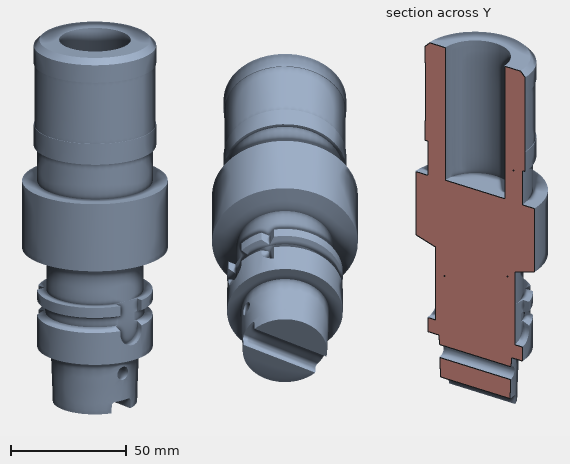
import cadquery as cq


shank_length = 25.0
shank_top_diameter = 38.4
shank_end_diameter = 36.5
cross_hole_diameter = 6.0
cross_hole_depth_below_flange = 7.5
end_slot_width = 10.5
end_slot_depth = 5.0
end_slot_corner_radius = 1.5

flange_diameter = 50.0
flange_height = 26.0
groove_center_height = 18.0
groove_floor_width = 4.0
groove_mouth_width = 6.9
groove_floor_diameter = 43.0
keyway_width = 12.0
keyway_center_height = 13.0
keyway_floor_offset = 21.0
notch_wall_offset = 15.5
notch_radius = 6.0
notch_center_height = 13.0

overall_height = 165.0
neck_diameter = 42.0
body_diameter = 63.0
body_bottom_drop = 98.0
body_cone_height = 3.0
body_top_drop = 64.3
collar_diameter = 50.0
ring_diameter = 53.0
lower_ring_bottom_drop = 48.0
lower_ring_top_drop = 38.5
sleeve_diameter = 52.5
upper_ring_bottom_drop = 10.5
top_chamfer = 2.5
bore_diameter = 31.0
bore_depth = 64.0

top_z = overall_height - shank_length
cut_reach = flange_diameter


def turned_body():
    """Revolve the half outline of shank, flange, body and nut about Z."""
    groove_bottom = groove_center_height - groove_mouth_width / 2
    groove_top = groove_center_height + groove_mouth_width / 2
    floor_bottom = groove_center_height - groove_floor_width / 2
    floor_top = groove_center_height + groove_floor_width / 2
    shank = [
        (0, -shank_length),
        (shank_end_diameter / 2, -shank_length),
        (shank_top_diameter / 2, 0),
    ]
    flange = [
        (flange_diameter / 2, 0),
        (flange_diameter / 2, groove_bottom),
        (groove_floor_diameter / 2, floor_bottom),
        (groove_floor_diameter / 2, floor_top),
        (flange_diameter / 2, groove_top),
        (flange_diameter / 2, flange_height),
    ]
    chuck_body = [
        (neck_diameter / 2, flange_height),
        (neck_diameter / 2, top_z - body_bottom_drop),
        (body_diameter / 2, top_z - body_bottom_drop + body_cone_height),
        (body_diameter / 2, top_z - body_top_drop),
    ]
    nut = [
        (collar_diameter / 2, top_z - body_top_drop),
        (collar_diameter / 2, top_z - lower_ring_bottom_drop),
        (ring_diameter / 2, top_z - lower_ring_bottom_drop),
        (ring_diameter / 2, top_z - lower_ring_top_drop),
        (sleeve_diameter / 2, top_z - lower_ring_top_drop),
        (sleeve_diameter / 2, top_z - upper_ring_bottom_drop),
        (ring_diameter / 2, top_z - upper_ring_bottom_drop),
        (ring_diameter / 2, top_z - top_chamfer),
        (ring_diameter / 2 - top_chamfer, top_z),
        (0, top_z),
    ]
    outline = cq.Workplane("XZ").polyline(shank + flange + chuck_body + nut).close()
    return outline.revolve(360, (0, 0, 0), (0, 1, 0))


def bore():
    """Blind tool bore opening at the top face."""
    return cq.Workplane("XY").workplane(offset=top_z).circle(bore_diameter / 2).extrude(-bore_depth)


def cross_hole():
    """Round hole right through the shank along X."""
    hole = cq.Workplane("YZ").center(0, -cross_hole_depth_below_flange)
    return hole.circle(cross_hole_diameter / 2).extrude(cut_reach, both=True)


def end_slot():
    """Slot across the shank end along X, with rounded inner corners."""
    slot = cq.Workplane("XY").box(2 * cut_reach, end_slot_width, 2 * end_slot_depth)
    slot = slot.edges("|X and >Z").fillet(end_slot_corner_radius)
    return slot.translate((0, 0, -shank_length))


def round_ended_slot(start_x, center_y, center_z, radius):
    """Slot open at the flange top, rounded below, running outward along -X from start_x."""
    outline = (
        cq.Workplane("YZ", origin=(start_x, center_y, 0))
        .moveTo(-radius, flange_height)
        .lineTo(-radius, center_z)
        .threePointArc((0, center_z - radius), (radius, center_z))
        .lineTo(radius, flange_height)
        .close()
    )
    return outline.extrude(-cut_reach)


keyway = round_ended_slot(-keyway_floor_offset, 0, keyway_center_height, keyway_width / 2)
opposite_keyway = keyway.mirror("YZ")
notch = round_ended_slot(
    -notch_wall_offset,
    -notch_wall_offset - notch_radius,
    notch_center_height,
    notch_radius,
)

result = turned_body()
for cutter in (bore(), cross_hole(), end_slot(), keyway, opposite_keyway, notch):
    result = result.cut(cutter)